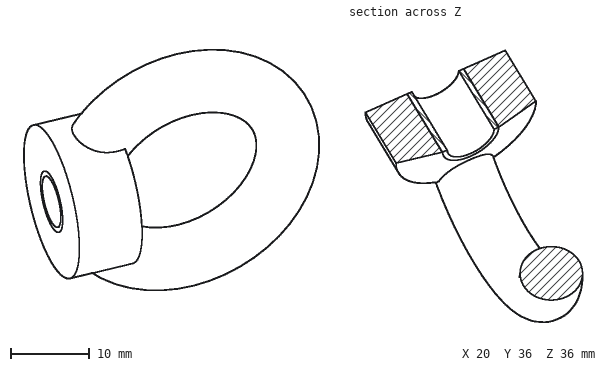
import cadquery as cq
import math

ring_outer_diameter = 36.0
bar_diameter = 8.0
boss_diameter = 20.0
boss_straight_height = 8.5
cone_angle = 12.0
insert_outer_diameter = bar_diameter
insert_bore_diameter = 6.65

bar_radius = bar_diameter / 2
ring_centre_radius = ring_outer_diameter / 2 - bar_radius
boss_radius = boss_diameter / 2
insert_outer_radius = insert_outer_diameter / 2
insert_bore_radius = insert_bore_diameter / 2
base_y = -ring_outer_diameter / 2
shoulder_y = base_y + boss_straight_height
cone_rise = (boss_radius - insert_outer_radius) * math.tan(math.radians(cone_angle))
rim_y = shoulder_y + cone_rise


def make_ring():
    """Round bar bent into a full ring about the X axis."""
    ring = cq.Solid.makeTorus(ring_centre_radius, bar_radius, cq.Vector(0, 0, 0), cq.Vector(1, 0, 0))
    return cq.Workplane(obj=ring)


def make_boss():
    """Cylindrical boss along Y with a conical shoulder facing the ring centre."""
    return (
        cq.Workplane("XY")
        .moveTo(0, base_y)
        .lineTo(boss_radius, base_y)
        .lineTo(boss_radius, shoulder_y)
        .lineTo(insert_outer_radius, rim_y)
        .lineTo(0, rim_y)
        .close()
        .revolve(360, (0, 0, 0), (0, 1, 0))
    )


def make_cylinder_through_boss(radius):
    """Cylinder along Y from the boss base to the rim of its cone."""
    return cq.Workplane("XZ", origin=(0, base_y, 0)).circle(radius).extrude(base_y - rim_y)


def make_eye_nut():
    """Ring and boss in one piece, bored to receive the insert."""
    insert_seat = make_cylinder_through_boss(insert_outer_radius)
    return make_ring().union(make_boss()).cut(insert_seat)


def make_insert():
    """Plain sleeve filling the boss bore from base to rim."""
    insert_bore = make_cylinder_through_boss(insert_bore_radius)
    return make_cylinder_through_boss(insert_outer_radius).cut(insert_bore)


eye_nut = make_eye_nut()
insert = make_insert()

result = cq.Compound.makeCompound([eye_nut.val(), insert.val()])